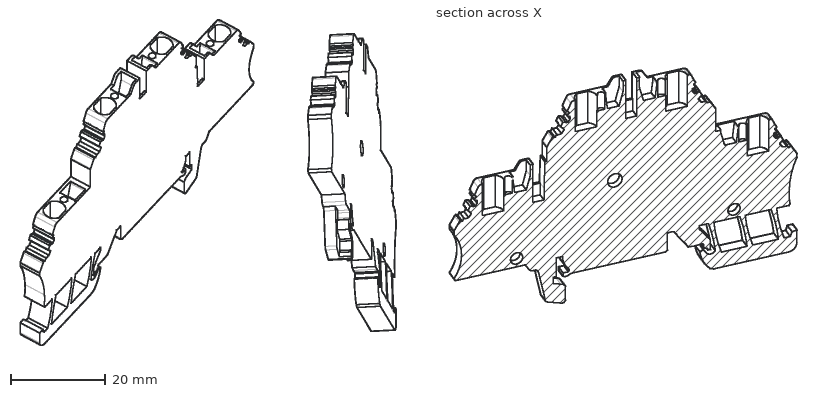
import cadquery as cq

thickness = 5.1
length = 79.06
height = 52.98

terminal_reach = 19.5
left_axis = 21.36
right_axis = length - 2 * terminal_reach - left_axis
left_end = left_axis + terminal_reach
right_end = -(right_axis + terminal_reach)

ear_height = 2.07
deck_step = 16.0
upper_land = height - ear_height
lower_land = upper_land - deck_step
shoulder_drop = 10.4
end_flat_bottom = 23.6
body_bottom = 11.8
seat_bottom = 7.05

slot_half = 1.22
slot_depth = 4.55
slot_bottom = upper_land - slot_depth
slot_wall_taper = 0.22
ear_flat_start = 2.8
ear_foot = 4.6
ear_round_width = 0.8
ear_round_drop = 0.45
slot_pocket_depth = 3.0
slot_pocket_x = (0.98, 4.6)

wire_centre = 10.45
wire_diameter = 4.86
wire_width = 4.1
wire_depth = 8.0
test_centre = 6.95
test_diameter = 1.6
test_depth = 4.0
pocket_start = 1.95
pocket_end = 5.85
pocket_x = (0.74, 4.62)
pocket_straight = 0.6
pocket_depth = 4.0
pocket_inner_slope = 0.9
pocket_outer_slope = 0.4

face_holes = [
    (3.78, 28.2, 3.2),
    (26.4, 14.0, 2.7),
    (-23.66, 14.0, 2.7),
]
face_hole_depth = 4.0

clip_recess_depth = thickness / 2
leg_pitch = 7.22
leg_count = 3
leg_inner_side = [(-17.75, body_bottom), (-18.8, 7.7)]
leg_outer_side = [(-19.6, 8.2), (-19.1, body_bottom)]
leg_foot = (-19.4, -20.8)
rail_floor = 3.95
rail_lip = 5.15
rail_lip_width = 1.25
rail_lip_slope = 0.35
rail_cup_top = 4.85
rail_bottom_front = -36.2
rail_bottom_back = -19.0


def sheet(start):
    """Start a YZ outline on the -X face."""
    return cq.Workplane("YZ").moveTo(*start)


def extrude(outline):
    """Close an outline and give it the full housing thickness."""
    return outline.close().extrude(thickness)


def slab(points):
    """Full-thickness prism from a YZ polygon."""
    return extrude(cq.Workplane("YZ").polyline(points))


def box(x_range, y_range, z_range):
    """Axis-aligned block from its limits."""
    sizes = [high - low for low, high in (x_range, sorted(y_range), z_range)]
    corner = (x_range[0], min(y_range), z_range[0])
    return cq.Workplane("XY").box(*sizes, centered=False).translate(corner)


def terminal(axis, side, land):
    """One terminal from its deck axis outward, with the grooved marker shoulder."""

    def at(inset, drop):
        return (axis + side * (terminal_reach - inset), land - drop)

    outline = (
        sheet((axis, end_flat_bottom))
        .lineTo(axis, land)
        .lineTo(*at(6.45, 0))
        .threePointArc(at(5.95, 0.15), at(5.55, 0.6))
        .lineTo(*at(4.65, 2.5))
        .lineTo(*at(5.15, 2.87))
        .lineTo(*at(4.63, 3.4))
        .lineTo(*at(4.8, 3.7))
        .lineTo(*at(5.35, 4.0))
        .lineTo(*at(5.35, 4.55))
        .lineTo(*at(4.9, 5.2))
        .lineTo(*at(4.45, 5.2))
        .lineTo(*at(4.3, 4.95))
        .lineTo(*at(3.7, 4.95))
        .lineTo(*at(3.2, 6.0))
        .lineTo(*at(4.0, 6.9))
        .lineTo(*at(3.4, 7.75))
        .lineTo(*at(2.45, 7.85))
        .lineTo(*at(2.3, 7.6))
        .lineTo(*at(1.95, 8.35))
        .lineTo(*at(1.5, 8.05))
        .lineTo(*at(1.2, 8.35))
        .lineTo(*at(0.1, 10.15))
        .lineTo(*at(0, shoulder_drop))
        .lineTo(*at(0, land - end_flat_bottom))
    )
    return extrude(outline)


def ear(axis, side, land):
    """Raised ear between the bridge slot and the land."""
    top = land + ear_height
    round_start = axis + side * ear_flat_start
    round_end = round_start + side * ear_round_width
    outline = (
        sheet((axis, land))
        .lineTo(axis, top)
        .lineTo(round_start, top)
        .tangentArcPoint((round_end, top - ear_round_drop), relative=False)
        .lineTo(axis + side * ear_foot, land)
    )
    return extrude(outline)


def lower_body():
    """Full-length part below the shoulders, with finger recesses at both ends."""
    outline = (
        sheet((left_end, end_flat_bottom))
        .threePointArc((39.13, 17.95), (left_end, 12.45))
        .lineTo(40.5, body_bottom)
        .lineTo(-36.35, body_bottom)
        .lineTo(-36.65, 12.2)
        .threePointArc((-36.4, 14.0), (-36.45, 15.9))
        .threePointArc((-37.05, 20.3), (right_end, end_flat_bottom))
    )
    return extrude(outline)


def slot_wall():
    """Stepped wall between the lower bridge slot and the upper deck."""
    root = left_axis - slot_half
    return slab([
        (0, end_flat_bottom),
        (left_axis, end_flat_bottom),
        (left_axis, slot_bottom - deck_step),
        (root, slot_bottom - deck_step),
        (root - slot_wall_taper, lower_land + ear_height),
        (0, lower_land + ear_height),
    ])


def rail_clip():
    """Spring clip that grips one rail edge, thinned to a web behind its rim."""
    outline = (
        sheet((24.4, body_bottom))
        .lineTo(23.6, 10.45)
        .threePointArc((23.15, 10.05), (22.6, 9.92))
        .lineTo(21.95, 9.92)
        .threePointArc((21.6, 9.6), (21.4, 9.2))
        .lineTo(19.85, 1.8)
        .threePointArc((19.7, 1.4), (19.4, 1.15))
        .lineTo(16.0, 0)
        .lineTo(15.5, 0)
        .lineTo(15.1, 0.55)
        .lineTo(15.1, 4.1)
        .threePointArc((15.47, 4.63), (16.3, 5.03))
        .lineTo(17.95, 5.6)
        .lineTo(17.95, seat_bottom)
        .lineTo(17.25, seat_bottom)
        .lineTo(17.25, body_bottom)
    )
    return extrude(outline)


def clip_recess():
    """Material removed from the -X side of the clip, leaving a web."""
    outline = (
        sheet((21.95, 9.92))
        .lineTo(18.95, 9.92)
        .threePointArc((18.7, 9.77), (18.6, 9.5))
        .lineTo(18.6, 8.35)
        .threePointArc((18.85, 7.9), (19.25, 7.65))
        .lineTo(19.6, 7.6)
        .lineTo(19.6, 5.35)
        .lineTo(16.4, 4.25)
        .lineTo(16.05, 3.9)
        .lineTo(16.05, 1.85)
        .lineTo(16.75, 1.2)
        .lineTo(16.75, 0)
        .lineTo(22.5, 0)
        .lineTo(22.5, 9.92)
    )
    return outline.close().extrude(clip_recess_depth)


def rail_seat():
    """Central foot that rests on the rail, with its small undercut nose."""
    outline = (
        sheet((15.78, body_bottom))
        .lineTo(15.78, 10.8)
        .threePointArc((15.25, 9.4), (14.3, 8.15))
        .lineTo(14.5, 7.72)
        .lineTo(15.75, 7.72)
        .lineTo(15.75, 6.8)
        .threePointArc((15.2, 6.55), (14.6, 6.65))
        .lineTo(13.8, seat_bottom)
        .lineTo(-7.85, seat_bottom)
        .lineTo(-8.35, 7.5)
        .lineTo(-8.35, body_bottom)
    )
    return extrude(outline)


def fixed_hook():
    """Slanted hook that reaches down towards the tip of the rail foot."""
    outline = (
        sheet((-9.7, body_bottom))
        .lineTo(-13.1, seat_bottom)
        .lineTo(-14.5, 6.92)
        .lineTo(-16.4, 6.98)
        .lineTo(-16.65, 6.75)
        .lineTo(-16.7, 5.85)
        .lineTo(-17.55, 5.55)
        .lineTo(-17.65, 5.15)
        .lineTo(-18.3, 5.15)
        .lineTo(-18.3, 7.3)
        .threePointArc((-18.2, 7.75), (-17.9, 8.15))
        .lineTo(-15.7, 11.0)
        .lineTo(-15.7, body_bottom)
    )
    return extrude(outline)


def rail_foot():
    """Foot hung below the body, with a cupped tip under the fixed hook."""
    outline = (
        sheet((-19.35, rail_lip))
        .lineTo(-19.35, rail_cup_top)
        .threePointArc((-18.4, 4.1), (-17.4, 4.5))
        .lineTo(-16.6, 5.5)
        .lineTo(-15.7, 5.35)
        .threePointArc((-16.6, 2.4), (-18.1, 0.35))
        .lineTo(rail_bottom_back, 0)
        .lineTo(rail_bottom_front, 0)
        .threePointArc((-37.6, 0.6), (right_end, 2.0))
        .lineTo(right_end, rail_lip)
        .lineTo(right_end + rail_lip_width, rail_lip)
        .lineTo(right_end + rail_lip_width + rail_lip_slope, rail_floor)
        .lineTo(-20.0, rail_floor)
        .lineTo(-20.0, rail_lip)
    )
    return extrude(outline)


def leg(offset):
    """Curved spring leg between the body and the rail foot, moved along -Y by the offset."""
    inner_top, inner_middle = leg_inner_side
    outer_middle, outer_top = leg_outer_side
    inner_foot, outer_foot = leg_foot
    outline = (
        sheet(inner_top)
        .threePointArc(inner_middle, (inner_foot, rail_floor))
        .lineTo(outer_foot, rail_floor)
        .threePointArc(outer_middle, outer_top)
    )
    return extrude(outline).translate((0, -offset, 0))


def bridge_slot(axis, drop):
    """Bridge slot through the thickness and the narrower pocket in its floor."""
    floor = slot_bottom - drop
    top = upper_land + ear_height - drop
    walls = (axis - slot_half, axis + slot_half)
    slot = box((0, thickness), walls, (floor, top))
    return slot.union(box(slot_pocket_x, walls, (floor - slot_pocket_depth, floor)))


def terminal_openings(axis, side, land):
    """Wire entry, test hole and release pocket of one terminal."""
    x_centre = thickness / 2
    wire_y = axis + side * wire_centre
    wire = (
        cq.Workplane("XY", origin=(x_centre, wire_y, land - wire_depth))
        .circle(wire_diameter / 2)
        .extrude(wire_depth)
    )
    flats = cq.Workplane("XY", origin=(x_centre, wire_y, land)).box(
        wire_width, wire_diameter, 2 * wire_depth
    )
    test = (
        cq.Workplane("XY", origin=(x_centre, axis + side * test_centre, land - test_depth))
        .circle(test_diameter / 2)
        .extrude(test_depth)
    )
    inner = axis + side * pocket_start
    outer = axis + side * pocket_end
    pocket = (
        cq.Workplane("YZ", origin=(pocket_x[0], 0, 0))
        .polyline([
            (inner, land + ear_height),
            (inner, land - pocket_straight),
            (inner + side * pocket_inner_slope, land - pocket_depth),
            (outer - side * pocket_outer_slope, land - pocket_depth),
            (outer, land - pocket_straight),
            (outer, land + ear_height),
        ])
        .close()
        .extrude(pocket_x[1] - pocket_x[0])
    )
    return wire.intersect(flats).union(test).union(pocket)


terminals = [
    (0, 1, upper_land, True),
    (0, -1, upper_land, True),
    (left_axis, 1, lower_land, True),
    (-right_axis, -1, lower_land, False),
]

result = lower_body()
for part in (slot_wall(), rail_seat(), fixed_hook(), rail_foot(), rail_clip().cut(clip_recess())):
    result = result.union(part)
for index in range(leg_count):
    result = result.union(leg(index * leg_pitch))
for axis, side, land, has_ear in terminals:
    result = result.union(terminal(axis, side, land))
    if has_ear:
        result = result.union(ear(axis, side, land))

result = result.cut(bridge_slot(0, 0)).cut(bridge_slot(left_axis, deck_step))
for axis, side, land, has_ear in terminals:
    result = result.cut(terminal_openings(axis, side, land))
for hole_y, hole_z, diameter in face_holes:
    hole = cq.Workplane("YZ").center(hole_y, hole_z).circle(diameter / 2).extrude(face_hole_depth)
    result = result.cut(hole)